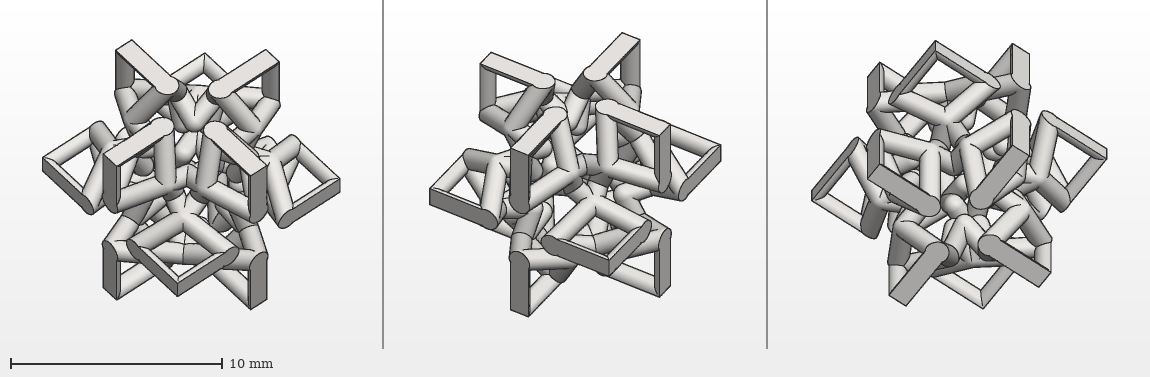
import cadquery as cq

CELL_SIZE = 10.0
STRUT_RADIUS = 0.5
FACE_NODE_OFFSET = 1.71
OUTER_FAR = 2.66
OUTER_NEAR = OUTER_FAR / 2
INNER_FAR = 1.99
INNER_NEAR = 1.15

HALF_CELL = CELL_SIZE / 2

FRAME_CHAIN = [
    (OUTER_FAR, OUTER_FAR, OUTER_NEAR),
    (HALF_CELL, FACE_NODE_OFFSET, 0),
    (HALF_CELL, HALF_CELL, 0),
    (FACE_NODE_OFFSET, HALF_CELL, 0),
    (OUTER_FAR, OUTER_FAR, OUTER_NEAR),
]
RING_CHAIN = [
    (INNER_FAR, INNER_NEAR, INNER_NEAR),
    (OUTER_FAR, OUTER_FAR, OUTER_NEAR),
    (INNER_NEAR, INNER_FAR, INNER_NEAR),
]
AXIS_CYCLES = [(0, 1, 2), (2, 0, 1), (1, 2, 0)]
OCTANT_SIGNS = [(sx, sy, sz) for sx in (1, -1) for sy in (1, -1) for sz in (1, -1)]


def placed(point, cycle, signs):
    """Cycle the coordinates of a point, then mirror it into an octant."""
    return tuple(sign * point[axis] for axis, sign in zip(cycle, signs))


def lattice_segments():
    """End points of every strut, each listed once although neighbouring octants share some."""
    segments = set()
    for chain in (FRAME_CHAIN, RING_CHAIN):
        for cycle in AXIS_CYCLES:
            for signs in OCTANT_SIGNS:
                nodes = [placed(point, cycle, signs) for point in chain]
                segments.update(tuple(sorted(ends)) for ends in zip(nodes, nodes[1:]))
    return sorted(segments)


def strut(start, end):
    axis = cq.Vector(*end) - cq.Vector(*start)
    return cq.Solid.makeCylinder(STRUT_RADIUS, axis.Length, cq.Vector(*start), axis)


def ball(center):
    return cq.Workplane("XY").sphere(STRUT_RADIUS).translate(center).val()


segments = lattice_segments()
nodes = sorted({node for ends in segments for node in ends})

struts = [strut(start, end) for start, end in segments]
balls = [ball(node) for node in nodes]
lattice = struts[0].fuse(*struts[1:], *balls)

cell = cq.Workplane("XY").box(CELL_SIZE, CELL_SIZE, CELL_SIZE)
result = cell.intersect(cq.Workplane(obj=lattice)).clean()